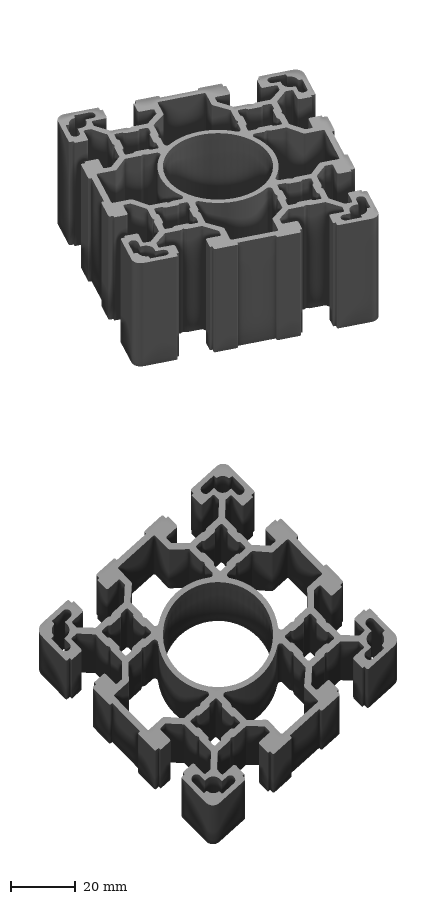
import cadquery as cq
import math


side = 80
length = 40
half_side = side / 2
corner_radius = 3.0
edge_radius = 0.5
root_radius = 0.5
lip_radius = 0.6

slot_center = side / 4
mouth_half_width = 5.0
rebate_half_width = 5.8
rebate_depth = 1.5
lip_thickness = 6.0
undercut_half_width = 10.2
undercut_depth = 8.5
floor_half_width = 6.0
core_half_width = 7.5
slot_depth = slot_center - core_half_width

cell_half_width = 5.5
pad_half_width = 2.8
pad_height = 0.6
pad_radius = 1.0

wall_mark_half_width = 1.0
wall_mark_depth = 0.5
wall_mark_radius = 0.5

hollow_wall = 1.6
hollow_arm_width = 3.0
hollow_arm_end = 12
hollow_step_radius = 0.5
hollow_hole_center = 5.6
hollow_hole_radius = 2.7

bore_radius = 17.0
tube_radius = 18.7
chamber_half_width = half_side - slot_center - core_half_width
chamber_neck_half_width = 7.8
chamber_neck_depth = 9.5
neck_radius = 1.0
chamber_shoulder_depth = 13.8
face_wall = 2.0
tube_fillet_radius = 1.0
recess_half_width = 6.2
recess_depth = 1.0


def rounded_prism(corners):
    """Extrude a closed outline of (x, y, radius) corners; radius 0 keeps a corner sharp."""
    entries = []
    for i, (x, y, radius) in enumerate(corners):
        corner = cq.Vector(x, y)
        to_previous = (cq.Vector(*corners[i - 1][:2]) - corner).normalized()
        to_next = (cq.Vector(*corners[(i + 1) % len(corners)][:2]) - corner).normalized()
        if radius == 0:
            entries.append((corner, None, corner))
            continue
        half_angle = to_previous.getAngle(to_next) / 2
        setback = radius / math.tan(half_angle)
        bisector = (to_previous + to_next).normalized()
        middle = corner + bisector * (radius / math.sin(half_angle) - radius)
        entries.append((corner + to_previous * setback, middle, corner + to_next * setback))

    outline = cq.Workplane("XY").moveTo(*entries[0][2].toTuple()[:2])
    for start, middle, end in entries[1:] + entries[:1]:
        outline = outline.lineTo(*start.toTuple()[:2])
        if middle is not None:
            outline = outline.threePointArc(middle.toTuple()[:2], end.toTuple()[:2])
    return outline.close().extrude(length)


def mirrored(right_half, root=()):
    """Complete an outline symmetric about the Y axis, with an optional root point on the axis."""
    return [*right_half, *root, *((-x, y, radius) for x, y, radius in reversed(right_half))]


def around_axis(shape):
    """Repeat a shape on the four sides of the profile."""
    copies = shape
    for angle in (90, 180, 270):
        copies = copies.union(shape.rotate((0, 0, 0), (0, 0, 1), angle))
    return copies


def rounded_rim(half_width, face, radius):
    """Right-hand outline points where an opening meets a face at Y = face with a rounded rim."""
    return [
        (half_width + 2 * radius, face + radius, 0),
        (half_width + 2 * radius, face, 0),
        (half_width, face, radius),
    ]


def slot():
    """Undercut slot open to the +Y side, centred on X = 0."""
    right_half = [
        *rounded_rim(rebate_half_width, half_side, edge_radius),
        (rebate_half_width, half_side - rebate_depth, 0),
        (mouth_half_width, half_side - rebate_depth, 0),
        (mouth_half_width, half_side - lip_thickness, lip_radius),
        (undercut_half_width, half_side - lip_thickness, root_radius),
        (undercut_half_width, half_side - undercut_depth, 0),
        (floor_half_width, half_side - slot_depth, 0),
    ]
    return rounded_prism(mirrored(right_half))


def cell():
    """Square cell with a pad on each wall, plus the grooves outside its walls, about the origin."""
    opening = cq.Workplane("XY").rect(2 * cell_half_width, 2 * cell_half_width).extrude(length)
    opening = opening.edges("|Z").fillet(root_radius)
    pad_bottom = cell_half_width - pad_height
    pad_right_half = [
        (pad_half_width, cell_half_width, 0),
        (pad_half_width - pad_height, pad_bottom, pad_radius),
    ]
    pad = rounded_prism(mirrored(pad_right_half))
    wall_mark_right_half = rounded_rim(wall_mark_half_width, core_half_width, wall_mark_radius)
    wall_mark_root = (0, core_half_width - wall_mark_depth, 0)
    wall_mark = rounded_prism(mirrored(wall_mark_right_half, [wall_mark_root]))
    return opening.cut(around_axis(pad)).union(around_axis(wall_mark))


def corner_hollow():
    """Round hole with two arms, measured from the corner at the origin, arms along +X and +Y."""
    arm_inner = hollow_wall + hollow_arm_width
    shoulder = hollow_hole_center + hollow_hole_radius
    end_radius = hollow_arm_width / 2 - 0.1
    lower_half = [
        (hollow_hole_center, hollow_hole_center, 0),
        (hollow_hole_center, hollow_wall, 0),
        (hollow_arm_end, hollow_wall, end_radius),
        (hollow_arm_end, arm_inner, end_radius),
        (shoulder, arm_inner, 0),
        (shoulder, hollow_hole_center, 0),
    ]
    upper_half = [(y, x, radius) for x, y, radius in reversed(lower_half[1:])]
    hole = cq.Workplane("XY").center(hollow_hole_center, hollow_hole_center).circle(hollow_hole_radius)
    hollow = rounded_prism(lower_half + upper_half).union(hole.extrude(length))
    step_end = hollow_hole_center - hollow_hole_radius
    for x, y in ((hollow_hole_center, step_end), (step_end, hollow_hole_center)):
        step_edge = cq.selectors.NearestToPointSelector((x, y, length / 2))
        hollow = hollow.edges(step_edge).fillet(hollow_step_radius)
    return hollow


def chamber():
    """Chamber between the tube and the thin wall of the +Y side."""
    right_half = [
        (chamber_neck_half_width, half_side - recess_depth - face_wall, root_radius),
        (chamber_neck_half_width, half_side - chamber_neck_depth, neck_radius),
        (chamber_half_width, half_side - chamber_shoulder_depth, 0),
        (chamber_half_width, 0, 0),
    ]
    tube = cq.Workplane("XY").circle(tube_radius).extrude(length)
    opening = rounded_prism(mirrored(right_half)).cut(tube)
    return opening.edges("|Z").edges("<Y").fillet(tube_fillet_radius)


def face_recess():
    """Shallow recess in the outer face of the +Y side."""
    right_half = [
        *rounded_rim(recess_half_width, half_side, edge_radius),
        (recess_half_width, half_side - recess_depth, 0),
    ]
    return rounded_prism(mirrored(right_half))


profile = cq.Workplane("XY").rect(side, side).extrude(length)
profile = profile.edges("|Z").fillet(corner_radius)

for offset in (-slot_center, slot_center):
    profile = profile.cut(around_axis(slot().translate((offset, 0, 0))))
profile = profile.cut(around_axis(cell().translate((slot_center, slot_center, 0))))
profile = profile.cut(around_axis(corner_hollow().translate((-half_side, -half_side, 0))))
profile = profile.cut(around_axis(chamber()))
profile = profile.cut(around_axis(face_recess()))
result = profile.cut(cq.Workplane("XY").circle(bore_radius).extrude(length))